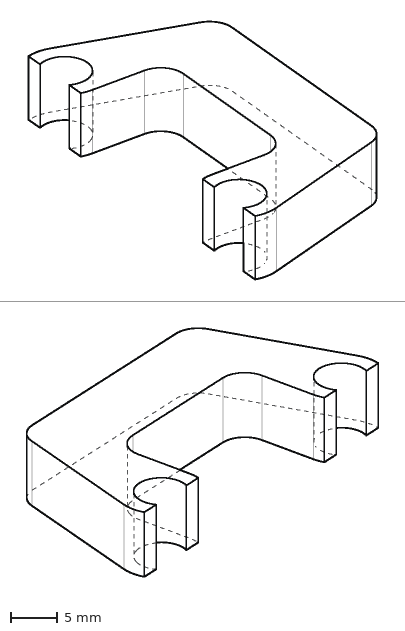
import cadquery as cq
import math

thickness = 8.0
clip_offset = 16.0
clip_radius = 5.0
bore_radius = 3.0
mouth_depth = 1.36
bridge_top = 20.0
bridge_bottom = 10.0
bridge_half_width = 15.0
shoulder_radius = 3.0
inner_corner_radius = 3.0

corner_dx = bridge_half_width - clip_offset
corner_distance = math.hypot(corner_dx, bridge_top)
corner_angle = math.atan2(bridge_top, corner_dx)
flank_angle = corner_angle - math.acos(clip_radius / corner_distance)

shoulder_turn = math.pi / 2 - flank_angle
shoulder_x = bridge_half_width - shoulder_radius * math.tan(shoulder_turn / 2)
shoulder_y = bridge_top - shoulder_radius

clip_end_half_width = math.sqrt(clip_radius**2 - mouth_depth**2)
inner_half_width = clip_offset - clip_radius


def point_on_circle(centre_x, centre_y, radius, angle):
    return (centre_x + radius * math.cos(angle), centre_y + radius * math.sin(angle))


def mirrored(point):
    return (-point[0], point[1])


def make_body():
    """Bridge with two legs, drawn from the right clip round to the left one."""
    clip_inner_end = (clip_offset - clip_end_half_width, -mouth_depth)
    clip_outer_end = (clip_offset + clip_end_half_width, -mouth_depth)
    clip_outermost = (clip_offset + clip_radius, 0)
    clip_tangent = point_on_circle(clip_offset, 0, clip_radius, flank_angle)
    shoulder_tangent = point_on_circle(shoulder_x, shoulder_y, shoulder_radius, flank_angle)
    shoulder_middle_angle = flank_angle + shoulder_turn / 2
    shoulder_middle = point_on_circle(
        shoulder_x, shoulder_y, shoulder_radius, shoulder_middle_angle
    )
    shoulder_end = (shoulder_x, bridge_top)

    clip_inner_start = (inner_half_width, 0)
    end_angle = math.pi + math.asin(mouth_depth / clip_radius)
    clip_inner_middle = point_on_circle(clip_offset, 0, clip_radius, (math.pi + end_angle) / 2)

    corner_x = inner_half_width - inner_corner_radius
    corner_y = bridge_bottom - inner_corner_radius
    corner_start = (inner_half_width, corner_y)
    corner_middle = point_on_circle(corner_x, corner_y, inner_corner_radius, math.pi / 4)
    corner_end = (corner_x, bridge_bottom)

    return (
        cq.Workplane("XY")
        .moveTo(*clip_inner_end)
        .lineTo(*clip_outer_end)
        .threePointArc(clip_outermost, clip_tangent)
        .lineTo(*shoulder_tangent)
        .threePointArc(shoulder_middle, shoulder_end)
        .lineTo(*mirrored(shoulder_end))
        .threePointArc(mirrored(shoulder_middle), mirrored(shoulder_tangent))
        .lineTo(*mirrored(clip_tangent))
        .threePointArc(mirrored(clip_outermost), mirrored(clip_outer_end))
        .lineTo(*mirrored(clip_inner_end))
        .threePointArc(mirrored(clip_inner_middle), mirrored(clip_inner_start))
        .lineTo(*mirrored(corner_start))
        .threePointArc(mirrored(corner_middle), mirrored(corner_end))
        .lineTo(*corner_end)
        .threePointArc(corner_middle, corner_start)
        .lineTo(*clip_inner_start)
        .threePointArc(clip_inner_middle, clip_inner_end)
        .close()
        .extrude(thickness)
    )


def make_bores():
    """Through bores that open at the flat ends of the clips."""
    return (
        cq.Workplane("XY")
        .pushPoints([(-clip_offset, 0), (clip_offset, 0)])
        .circle(bore_radius)
        .extrude(thickness)
    )


result = make_body().cut(make_bores())